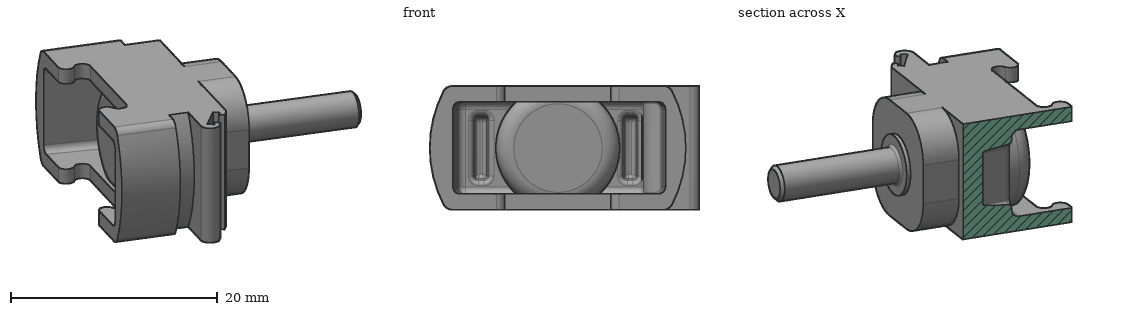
import cadquery as cq
import math


width = 12.0
half_width = width / 2
base_half_length = 12.4
base_end_radius = 11.9
base_corner_radius = 1.0
waist_half_length = 10.9
waist_side_half_length = 9.12
step_height = 6.0
shoulder_height = 7.98
body_height = 11.57

boss_top = 15.35
boss_corner_radius = 4.0
collar_radius = 3.02
collar_top = 15.8
shaft_diameter = 3.55
shaft_radius = shaft_diameter / 2
shaft_tip = 28.5
shaft_chamfer = 0.35
shaft_root_fillet = 0.28

arm_tip_x = 13.7
arm_tip_radius = 0.95
arm_slope = 30.0
slot_wall = 0.15
slot_width = 3.05
slot_lip_length = 0.5
slot_lip_thickness = 0.57
slot_depth = 1.23

rail_lip_half_gap = 5.13
rail_radius = 0.8

recess_face_x = -12.08
recess_bottom = 2.25
recess_top = 5.13

cavity_left = -10.15
cavity_right = 10.43
cavity_width = 8.92
cavity_floor = 6.35
cavity_fillet = 0.7
draft = 5.0

pad_radius = half_width
pad_face = 3.48
pad_fillet = 1.7
ridge_radius = 1.88
ridge_x = 10.15
ridge_fillet = 0.15
pocket_centres_x = (-7.45, 7.0)
pocket_size_x = 1.57
pocket_size_z = 6.38
pocket_corner_radius = 0.5
pocket_depth = 3.42
pocket_rim_radius = 0.48
pocket_floor_radius = 0.4


def plane_at(y):
    """Plane across the shaft axis at height y, local axes X and -Z, normal +Y."""
    return cq.Plane(origin=(0, y, 0), xDir=(1, 0, 0), normal=(0, 1, 0))


def block(x_min, x_max, y_min, y_max, size_z):
    return (
        cq.Workplane("XY")
        .box(x_max - x_min, y_max - y_min, size_z, centered=(False, False, True))
        .translate((x_min, y_min, 0))
    )


def cylinder(radius, y_min, y_max):
    return cq.Workplane(plane_at(y_min)).circle(radius).extrude(y_max - y_min)


def across(outline):
    """Extrude a closed XY outline over the full width of the body."""
    return outline.extrude(half_width, both=True)


def bowed_prism(half_length, side_half_length, y_min, y_max):
    """Prism with flat sides and two ends that bow outwards."""
    return (
        cq.Workplane(plane_at(y_min))
        .moveTo(-side_half_length, half_width)
        .lineTo(side_half_length, half_width)
        .threePointArc((half_length, 0), (side_half_length, -half_width))
        .lineTo(-side_half_length, -half_width)
        .threePointArc((-half_length, 0), (-side_half_length, half_width))
        .close()
        .extrude(y_max - y_min)
    )


def base_prism(y_min, y_max):
    end_bow = base_end_radius - math.sqrt(base_end_radius**2 - half_width**2)
    prism = bowed_prism(base_half_length, base_half_length - end_bow, y_min, y_max)
    return prism.edges("|Y").fillet(base_corner_radius)


def make_body():
    """Long base, shorter waist, and a shoulder that carries the base higher at the -X end."""
    shoulder_half = block(-base_half_length, 0, step_height, shoulder_height, width)
    shoulder = base_prism(0, shoulder_height).intersect(shoulder_half)
    waist = bowed_prism(waist_half_length, waist_side_half_length, step_height, body_height)
    waist_left = waist.intersect(block(-base_half_length, 0, step_height, body_height, width))
    waist_right = waist.intersect(block(0, base_half_length, step_height, shoulder_height, width))
    return base_prism(0, step_height).union(shoulder).union(waist_left).union(waist_right)


def make_arm():
    """Upper +X part of the body, ending in a slope that runs into a round tip."""
    slope = math.radians(arm_slope)
    tip_x = arm_tip_x - arm_tip_radius
    tip_y = shoulder_height + arm_tip_radius
    slope_end_x = tip_x + arm_tip_radius * math.sin(slope)
    slope_end_y = tip_y + arm_tip_radius * math.cos(slope)
    slope_start_x = slope_end_x - (body_height - slope_end_y) / math.tan(slope)
    arm = across(
        cq.Workplane("XY")
        .moveTo(0, shoulder_height)
        .lineTo(tip_x, shoulder_height)
        .threePointArc((arm_tip_x, tip_y), (slope_end_x, slope_end_y))
        .lineTo(slope_start_x, body_height)
        .lineTo(0, body_height)
        .close()
    )
    slope_plane = cq.Plane(
        origin=(slope_end_x, slope_end_y, 0),
        xDir=(-math.cos(slope), math.sin(slope), 0),
        normal=(0, 0, 1),
    )
    slot_middle = slot_wall + slot_width / 2
    mouth_width = slot_width - 2 * slot_lip_length
    undercut_height = slot_depth - slot_lip_thickness
    mouth = across(
        cq.Workplane(slope_plane).center(slot_middle, 0).rect(mouth_width, 2 * slot_depth)
    )
    undercut = across(
        cq.Workplane(slope_plane)
        .center(slot_middle, slot_lip_thickness + undercut_height / 2)
        .rect(slot_width, undercut_height)
    )
    return arm.cut(mouth).cut(undercut)


def make_boss_and_shaft():
    boss = cq.Workplane(plane_at(body_height)).rect(width, width).extrude(boss_top - body_height)
    boss = boss.edges("|Y").fillet(boss_corner_radius)
    collar = cylinder(collar_radius, boss_top, collar_top)
    shaft = cylinder(shaft_radius, collar_top, shaft_tip).faces(">Y").chamfer(shaft_chamfer)
    collar_face = collar.union(shaft).faces(cq.selectors.NearestToPointSelector((0, collar_top, 0)))
    stem = collar_face.edges(cq.selectors.RadiusNthSelector(0)).fillet(shaft_root_fillet)
    return boss.union(stem)


def make_rail_opening():
    """Opening with two rounded lips; each side is an S of two equal tangent arcs."""
    lip_x = rail_lip_half_gap + rail_radius
    groove_x = half_width - rail_radius
    centre_rise = math.sqrt((2 * rail_radius) ** 2 - (lip_x - groove_x) ** 2)
    lip_y = rail_radius
    groove_y = lip_y + centre_rise
    ceiling = groove_y + rail_radius
    joint_x = (lip_x + groove_x) / 2
    joint_y = (lip_y + groove_y) / 2
    return across(
        cq.Workplane("XY")
        .moveTo(-lip_x, 0)
        .threePointArc((-rail_lip_half_gap, lip_y), (-joint_x, joint_y))
        .threePointArc((-half_width, groove_y), (-groove_x, ceiling))
        .lineTo(groove_x, ceiling)
        .threePointArc((half_width, groove_y), (joint_x, joint_y))
        .threePointArc((rail_lip_half_gap, lip_y), (lip_x, 0))
        .close()
    )


def make_ridge():
    return (
        cq.Workplane("XY")
        .center(ridge_x, cavity_floor)
        .circle(ridge_radius)
        .extrude(half_width, both=True)
    )


def make_pad():
    return cylinder(pad_radius, pad_face, body_height).faces("<Y").edges().fillet(pad_fillet)


def make_pocket(centre_x):
    """Solid that fills one drafted floor pocket, including its flared rim."""
    margin = 2 * pocket_rim_radius
    surround = (
        cq.Workplane(plane_at(cavity_floor))
        .center(centre_x, 0)
        .rect(pocket_size_x + 2 * margin, pocket_size_z + 2 * margin)
        .extrude(pocket_depth + margin)
    )
    core = (
        cq.Workplane(plane_at(cavity_floor))
        .center(centre_x, 0)
        .sketch()
        .rect(pocket_size_x, pocket_size_z)
        .vertices()
        .fillet(pocket_corner_radius)
        .finalize()
        .extrude(pocket_depth, taper=draft)
    )
    core = core.faces(">Y").edges().fillet(pocket_floor_radius)

    rim = surround.cut(core).faces("<Y").wires(cq.selectors.AreaNthSelector(0))
    flared_block = rim.fillet(pocket_rim_radius)
    return surround.cut(flared_block)


def make_cavity():
    """Everything removed from inside the body; the pad and the ridge stay behind."""
    lean = cavity_floor * math.tan(math.radians(draft))
    space = (
        cq.Workplane("XY")
        .polyline([
            (cavity_left, 0),
            (cavity_right, 0),
            (cavity_right - lean, cavity_floor),
            (cavity_left + lean, cavity_floor),
        ])
        .close()
        .extrude(cavity_width / 2, both=True)
        .edges("not <Y")
        .fillet(cavity_fillet)
    )
    space = space.cut(make_ridge())
    ridge_reach = ridge_radius * math.sqrt(0.5)
    ridge_crest = (ridge_x - ridge_reach, cavity_floor - ridge_reach, 0)
    ridge_face = space.faces(cq.selectors.NearestToPointSelector(ridge_crest))
    space = ridge_face.edges().fillet(ridge_fillet)
    for centre_x in pocket_centres_x:
        space = space.union(make_pocket(centre_x).cut(make_ridge()))
    return space.cut(make_pad())


recess = block(-base_half_length, recess_face_x, recess_bottom, recess_top, width)

result = make_body().union(make_arm()).union(make_boss_and_shaft())
result = result.cut(make_rail_opening()).cut(recess).cut(make_cavity())